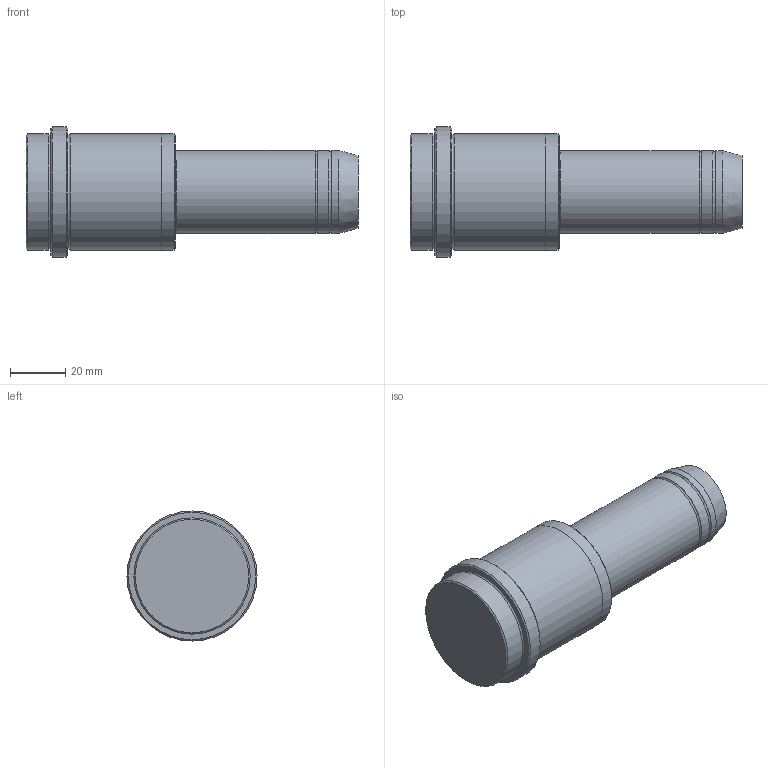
import cadquery as cq
import math

length = 120.0

body_diameter = 42.0
flange_diameter = 47.0
flange_start = 9.0
flange_end = 15.0
body_end = 54.0
rim_chamfer = 0.5

lead_in_diameter = 41.98
lead_in_length = 5.0

pin_diameter = 30.0
root_fillet = 0.5
taper_length = 7.0
taper_angle = 15.0

groove_radius = 0.5
body_groove_centers = (flange_start - groove_radius, flange_end + groove_radius)
pin_groove_centers = (105.0, 110.0)


def disc(diameter, start, end):
    """Solid cylinder on the X axis between two positions."""
    return cq.Workplane("YZ", origin=(start, 0, 0)).circle(diameter / 2).extrude(end - start)


def body():
    """Body with the head at its front end and a lead-in at its rear end, both rims chamfered."""
    lead_in_start = body_end - lead_in_length
    front = disc(body_diameter, 0, lead_in_start).faces("<X").edges().chamfer(rim_chamfer)
    lead_in = disc(lead_in_diameter, lead_in_start, body_end).faces(">X").edges().chamfer(rim_chamfer)
    return front.union(lead_in)


def flange():
    """Collar around the body with both rims chamfered."""
    collar = disc(flange_diameter, flange_start, flange_end)
    return collar.faces("<X or >X").edges().chamfer(rim_chamfer)


def pin():
    """Pin with a root fillet against the body and a conical lead-in at its free end."""
    pin_radius = pin_diameter / 2
    tip_radius = pin_radius - taper_length * math.tan(math.radians(taper_angle))
    profile = (
        cq.Workplane("XZ")
        .moveTo(body_end, 0)
        .lineTo(body_end, pin_radius + root_fillet)
        .radiusArc((body_end + root_fillet, pin_radius), -root_fillet)
        .lineTo(length - taper_length, pin_radius)
        .lineTo(length, tip_radius)
        .lineTo(length, 0)
        .close()
    )
    return profile.revolve(360, (0, 0, 0), (1, 0, 0))


def ring_groove(diameter, center):
    """Torus cutter for one groove around a cylinder of the given diameter."""
    section = cq.Workplane("XY").center(center, diameter / 2).circle(groove_radius)
    return section.revolve(360, (0, -diameter / 2, 0), (1, -diameter / 2, 0))


result = body().union(flange()).union(pin())
for groove_center in body_groove_centers:
    result = result.cut(ring_groove(body_diameter, groove_center))
for groove_center in pin_groove_centers:
    result = result.cut(ring_groove(pin_diameter, groove_center))